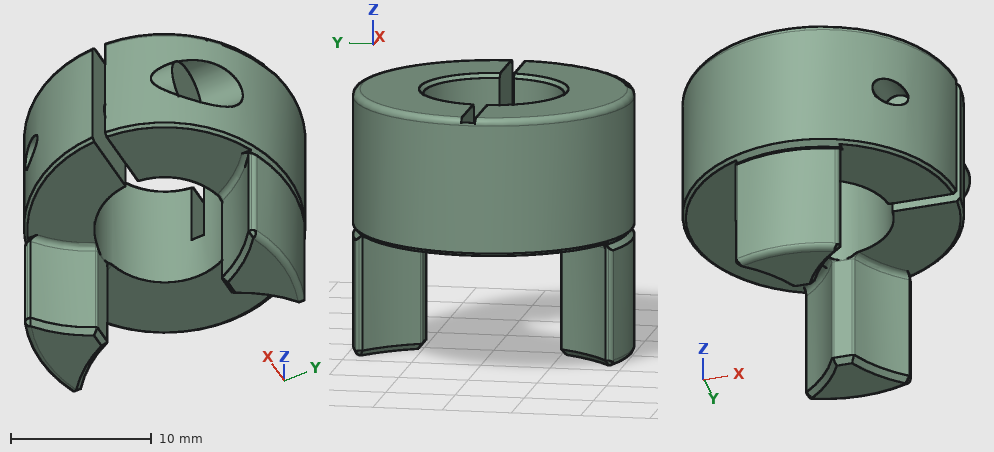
import cadquery as cq
import math

HUB_RADIUS = 10.0
HUB_HEIGHT = 10.0
TOP_ROUND = 0.5
BORE_RADIUS = 5.0
BORE_CHAMFER = 0.3

SLOT_WIDTH = 1.0
CUTTER_RADIUS = 25.0
CUTTER_X = 11.0
CUTTER_RUNOUT_DEPTH = 0.2

JAW_LENGTH = 9.0
JAW_HALF_WIDTH = 3.83
SHOULDER_Y = 8.77
TIP_Y = BORE_RADIUS
TIP_HALF_WIDTH = 0.8
FLANK_RADIUS = 10.0
CORNER_ROUND = 0.35
TIP_ROUND = 0.2
END_ROUND = 0.45
END_BEVEL = 0.45
BEVEL_ANGLE = 40.0
ROOT_ROUND = 0.42
BLANK_RADIUS = 12.0

GROOVE_DEPTH = 0.4
GROOVE_CENTRE_Z = -0.16

SCREW_X = 7.0
SCREW_Z = HUB_HEIGHT / 2
SCREW_DIAMETER = 2.5
SCREW_LENGTH = 8.0
HEAD_DIAMETER = 4.5
HEAD_LENGTH = 2.5
HEAD_TOP_Y = 5.5
HEAD_SEAT_Y = HEAD_TOP_Y - HEAD_LENGTH
SCREW_END_Y = HEAD_SEAT_Y - SCREW_LENGTH
TAP_DRILL_DIAMETER = 2.05

PICK_REACH = 0.05


def rod_along_y(diameter, start_y, end_y):
    """Cylinder on the screw axis between two Y positions."""
    start = cq.Vector(SCREW_X, start_y, SCREW_Z)
    rod = cq.Solid.makeCylinder(diameter / 2, end_y - start_y, start, cq.Vector(0, 1, 0))
    return cq.Workplane(rod)


def upright_edges(shape, x, y):
    """The edges parallel to Z that pass through (x, y), at any height."""
    column = cq.selectors.BoxSelector(
        (x - PICK_REACH, y - PICK_REACH, -JAW_LENGTH),
        (x + PICK_REACH, y + PICK_REACH, HUB_HEIGHT),
    )
    return shape.edges("|Z").edges(column)


def flank_middle():
    """Point halfway along the concave flank on the +X side of the +Y jaw."""
    across = JAW_HALF_WIDTH - TIP_HALF_WIDTH
    along = SHOULDER_Y - TIP_Y
    chord = math.hypot(across, along)
    sagitta = FLANK_RADIUS - math.sqrt(FLANK_RADIUS**2 - (chord / 2) ** 2)
    x = (JAW_HALF_WIDTH + TIP_HALF_WIDTH) / 2 - sagitta * along / chord
    y = (SHOULDER_Y + TIP_Y) / 2 + sagitta * across / chord
    return x, y


def make_jaw():
    """The +Y jaw, narrowing inwards between two concave flanks, with a bevelled lower end."""
    middle_x, middle_y = flank_middle()
    outline = (
        cq.Workplane("XY")
        .workplane(offset=END_BEVEL - JAW_LENGTH)
        .moveTo(-TIP_HALF_WIDTH, TIP_Y)
        .lineTo(TIP_HALF_WIDTH, TIP_Y)
        .threePointArc((middle_x, middle_y), (JAW_HALF_WIDTH, SHOULDER_Y))
        .lineTo(JAW_HALF_WIDTH, BLANK_RADIUS)
        .lineTo(-JAW_HALF_WIDTH, BLANK_RADIUS)
        .lineTo(-JAW_HALF_WIDTH, SHOULDER_Y)
        .threePointArc((-middle_x, middle_y), (-TIP_HALF_WIDTH, TIP_Y))
        .close()
    )
    upper = outline.extrude(JAW_LENGTH - END_BEVEL)
    for side in (1, -1):
        upper = upright_edges(upper, side * TIP_HALF_WIDTH, TIP_Y).fillet(TIP_ROUND)
    lower_outline = upper.faces("<Z").wires().toPending()
    bevelled_end = lower_outline.extrude(-END_BEVEL, taper=BEVEL_ANGLE, combine=False)
    jaw = upper.union(bevelled_end)
    rim = (
        cq.Workplane("XY")
        .workplane(offset=-JAW_LENGTH)
        .circle(HUB_RADIUS)
        .extrude(JAW_LENGTH)
        .faces("<Z")
        .edges()
        .fillet(END_ROUND)
    )
    jaw = jaw.intersect(rim)
    corner_y = math.sqrt(HUB_RADIUS**2 - JAW_HALF_WIDTH**2)
    for side in (1, -1):
        jaw = upright_edges(jaw, side * JAW_HALF_WIDTH, corner_y).fillet(CORNER_ROUND)
    return jaw


def round_jaw_roots(shape):
    """Fillet the concave flanks into the underside of the hub."""
    at_underside = cq.selectors.BoxSelector(
        (-JAW_HALF_WIDTH, -SHOULDER_Y, -PICK_REACH),
        (JAW_HALF_WIDTH, SHOULDER_Y, PICK_REACH),
    )
    roots = [
        edge
        for edge in shape.edges("%CIRCLE").edges(at_underside).vals()
        if edge.Length() > SHOULDER_Y - TIP_Y
    ]
    return shape.newObject(roots).fillet(ROOT_ROUND)


def make_groove():
    """Ring with a V section, pointing inwards."""
    return (
        cq.Workplane("XZ")
        .moveTo(HUB_RADIUS - GROOVE_DEPTH, GROOVE_CENTRE_Z)
        .lineTo(HUB_RADIUS, GROOVE_CENTRE_Z - GROOVE_DEPTH)
        .lineTo(BLANK_RADIUS, GROOVE_CENTRE_Z - GROOVE_DEPTH)
        .lineTo(BLANK_RADIUS, GROOVE_CENTRE_Z + GROOVE_DEPTH)
        .lineTo(HUB_RADIUS, GROOVE_CENTRE_Z + GROOVE_DEPTH)
        .close()
        .revolve(360, (0, 0, 0), (0, 1, 0))
    )


def make_slot_cutter():
    """Disc with its axis along Y that leaves a curved slot floor on -X and passes through on +X."""
    runout_z = HUB_HEIGHT - CUTTER_RUNOUT_DEPTH
    cutter_z = runout_z + math.sqrt(CUTTER_RADIUS**2 - (CUTTER_X + HUB_RADIUS) ** 2)
    return (
        cq.Workplane("XZ", origin=(CUTTER_X, SLOT_WIDTH / 2, cutter_z))
        .circle(CUTTER_RADIUS)
        .extrude(SLOT_WIDTH)
    )


def make_hub():
    """Ring with two jaws, groove, bore, clamping slot and stepped screw hole."""
    hub = cq.Workplane("XY").circle(HUB_RADIUS).extrude(HUB_HEIGHT)
    hub = hub.faces(">Z").edges().fillet(TOP_ROUND)
    jaw = make_jaw()
    for angle in (0, 180):
        hub = hub.union(jaw.rotate((0, 0, 0), (0, 0, 1), angle))
    hub = round_jaw_roots(hub)
    hub = hub.cut(make_groove())

    bore = (
        cq.Workplane("XY")
        .workplane(offset=-JAW_LENGTH)
        .circle(BORE_RADIUS)
        .extrude(JAW_LENGTH + HUB_HEIGHT)
    )
    hub = hub.cut(bore)
    top_circles = hub.faces(">Z").edges("%CIRCLE")
    hub = top_circles.edges(cq.selectors.RadiusNthSelector(0)).chamfer(BORE_CHAMFER)

    hub = hub.cut(make_slot_cutter())

    tap_drill = rod_along_y(TAP_DRILL_DIAMETER, -HUB_RADIUS, SCREW_END_Y)
    shank_hole = rod_along_y(SCREW_DIAMETER, SCREW_END_Y, HEAD_SEAT_Y)
    counterbore = rod_along_y(HEAD_DIAMETER, HEAD_SEAT_Y, HUB_RADIUS)
    return hub.cut(tap_drill).cut(shank_hole).cut(counterbore)


def make_screw():
    """Shank and head of the clamping screw."""
    shank = rod_along_y(SCREW_DIAMETER, SCREW_END_Y, HEAD_SEAT_Y)
    head = rod_along_y(HEAD_DIAMETER, HEAD_SEAT_Y, HEAD_TOP_Y)
    return shank.union(head)


hub = make_hub()
screw = make_screw()
result = cq.Compound.makeCompound([hub.val(), screw.val()])